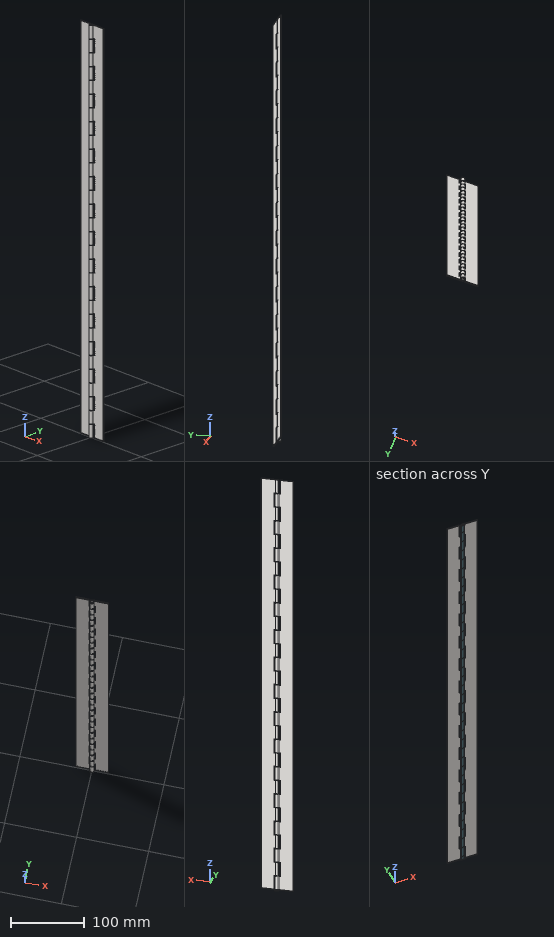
import cadquery as cq

hinge_length = 600.0
hinge_width = 45.0
barrel_diameter = 6.0
sheet_thickness = 1.5
notch_reach = 4.5
knuckle_count = 30

knuckle_length = hinge_length / knuckle_count
barrel_radius = barrel_diameter / 2
pin_radius = barrel_radius - sheet_thickness
leaf_reach = hinge_width / 2
sheet_middle_y = barrel_radius - sheet_thickness / 2


def make_plate(side):
    """Flat sheet of one leaf, its edge straight along the notches; side is +1 or -1 in X."""
    plate_width = leaf_reach - notch_reach
    return (
        cq.Workplane("XY")
        .center(side * (leaf_reach + notch_reach) / 2, sheet_middle_y)
        .rect(plate_width, sheet_thickness)
        .extrude(hinge_length)
    )


def make_knuckle(side, bottom):
    """Sheet tongue running tangentially into a rolled tube around the pin."""
    section = cq.Workplane("XY", origin=(0, 0, bottom))
    tube = section.circle(barrel_radius).extrude(knuckle_length)
    tongue = (
        section.center(side * notch_reach / 2, sheet_middle_y)
        .rect(notch_reach, sheet_thickness)
        .extrude(knuckle_length)
    )
    bore = section.circle(pin_radius).extrude(knuckle_length)
    return tube.union(tongue).cut(bore)


def make_leaf(side, first_knuckle):
    """One leaf, with every second knuckle counted up from first_knuckle."""
    leaf = make_plate(side)
    for index in range(first_knuckle, knuckle_count, 2):
        leaf = leaf.union(make_knuckle(side, index * knuckle_length))
    return leaf


def make_pin():
    """Plain pin filling the bore over the full length."""
    return cq.Workplane("XY").circle(pin_radius).extrude(hinge_length)


left_leaf = make_leaf(-1, 0)
right_leaf = make_leaf(1, 1)
pin = make_pin()

result = cq.Compound.makeCompound([left_leaf.val(), right_leaf.val(), pin.val()])